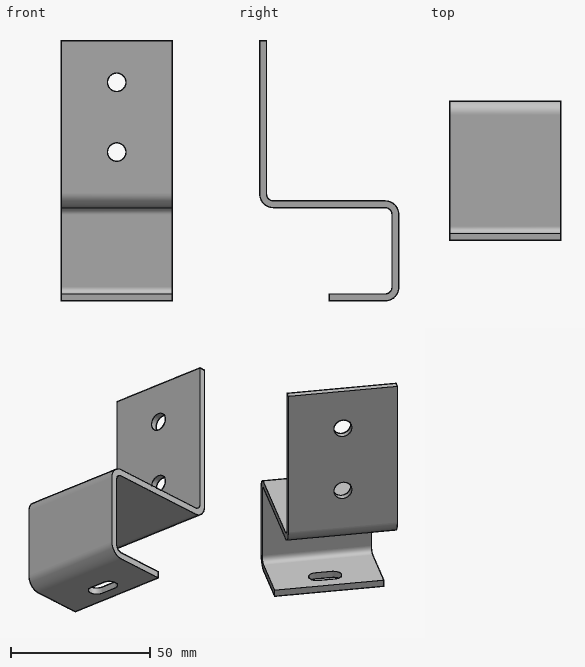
import cadquery as cq

width = 40.0
depth = 50.0
height = 93.5
thickness = 2.5
outer_radius = 5.0

shelf_top = 36.0
foot_length = 25.1

hole_diameter = 6.5
hole_heights = (53.5, 78.5)

slot_length = 12.0
slot_width = 6.0
slot_to_foot_edge = 7.5

inner_radius = outer_radius - thickness
shelf_bottom = shelf_top - thickness
foot_edge = depth - foot_length


def strip_profile():
    """Solid Z-shaped strip with sharp corners, upright plate at Y = 0."""
    points = [
        (0, height),
        (0, shelf_bottom),
        (depth - thickness, shelf_bottom),
        (depth - thickness, thickness),
        (foot_edge, thickness),
        (foot_edge, 0),
        (depth, 0),
        (depth, shelf_top),
        (thickness, shelf_top),
        (thickness, height),
    ]
    return cq.Workplane("YZ").polyline(points).close().extrude(width / 2, both=True)


def round_bend(body, outer_corner, inner_corner):
    """Round both sides of one bend, each corner given as (y, z)."""
    for (y, z), radius in ((outer_corner, outer_radius), (inner_corner, inner_radius)):
        edge = cq.selectors.NearestToPointSelector((0, y, z))
        body = body.edges("|X").edges(edge).fillet(radius)
    return body


def upright_holes():
    centers = [(0, z) for z in hole_heights]
    return (
        cq.Workplane("XZ")
        .pushPoints(centers)
        .circle(hole_diameter / 2)
        .extrude(-thickness)
    )


def foot_slot():
    return (
        cq.Workplane("XY")
        .center(0, foot_edge + slot_to_foot_edge)
        .slot2D(slot_length, slot_width)
        .extrude(thickness)
    )


back = depth - thickness
result = strip_profile()
result = round_bend(result, (0, shelf_bottom), (thickness, shelf_top))
result = round_bend(result, (depth, shelf_top), (back, shelf_bottom))
result = round_bend(result, (depth, 0), (back, thickness))
result = result.cut(upright_holes()).cut(foot_slot())